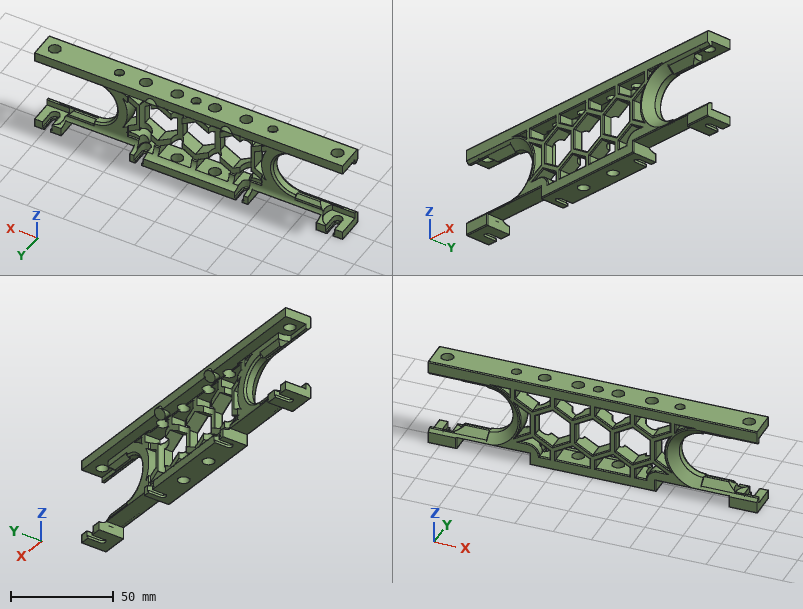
import cadquery as cq
import math

LENGTH = 172.0
HALF_LENGTH = LENGTH / 2
HEIGHT = 47.0
DEPTH = 15.0
WEB_DEPTH = 9.3
LATTICE_DEPTH = 8.3
MIDDLE_Z = 23.5
EDGE_CHAMFER = 0.5
OVERSHOOT = 3.5
BACK = DEPTH + OVERSHOOT
LEFT_END = -HALF_LENGTH - OVERSHOOT
SELECT_MARGIN = 0.2

TOP_UNDERSIDE = 41.8
FLOOR_TOP = 4.6
NOTCH_TOP = 6.4
BLOCK_HALF = 33.0
FOOT_LENGTH = 14.8
BACK_FILLET = 5.2

SLOT_CENTRE = 56.0
SLOT_RADIUS = 12.5
SLOT_CHAMFER = 4.6
ARC_BACK_CHAMFER = 1.0
LIP_BACK_CHAMFER = 2.4
LIP_RECESS = 1.0

RIM_DEPTH = 3.0
RIM_LEDGE = 1.5
LEDGE_DISTANCE = SLOT_RADIUS + SLOT_CHAMFER - RIM_LEDGE
CLEARANCE_RADIUS = 7.2
FLARE_START = 3.5
FLARE = 3.5

PITCH = 21.0
STRUT = 3.1
RING_RADIUS = 18.5
WINDOW_BOTTOM = 6.0
WINDOW_TOP = 41.0
BLOCK_WALL = 5.7
CORNER_RADIUS = 6.4
CORNER_X = 34.2

HOLE_Y = 7.5
SCREW_X = (28.0, 79.0)
OPEN_X = 10.5
BLIND_X = (-42.8, 0.0, 42.8)
HOLE_RADIUS = 3.1
BLIND_RADIUS = 2.4
BLIND_DEPTH = 3.5
SEAT_RADIUS = 2.5
SEAT_Z = 1.4
SCREW_SLOT_RADIUS = 1.7

PEG_RADIUS = 3.3
PEG_TIP_Y = 16.7
PEG_TIP_Z = 43.2
PEG_LENGTH = 5.2


def block(x0, x1, y0, y1, z0, z1):
    return cq.Workplane("XY").box(x1 - x0, y1 - y0, z1 - z0, centered=False).translate((x0, y0, z0))


def along_x(points, x0, x1):
    """Extrude a (Y, Z) outline from x0 to x1."""
    return cq.Workplane("YZ").polyline(points).close().extrude(x1 - x0).translate((x0, 0, 0))


def along_y(outline, y0, y1):
    """Extrude an (X, Z) outline, drawn on an XZ workplane, from y0 to y1."""
    return outline.extrude(y0 - y1).translate((0, y0, 0))


def both_ends(shape):
    return shape.union(shape.mirror("YZ"))


def frame():
    body = block(-HALF_LENGTH, HALF_LENGTH, 0, DEPTH, TOP_UNDERSIDE, HEIGHT)
    body = body.union(block(-HALF_LENGTH, HALF_LENGTH, 0, WEB_DEPTH, NOTCH_TOP, HEIGHT))
    body = body.union(block(-BLOCK_HALF, BLOCK_HALF, 0, DEPTH, 0, FLOOR_TOP))
    body = body.union(block(-BLOCK_HALF, BLOCK_HALF, 0, WEB_DEPTH, 0, NOTCH_TOP))
    foot = block(-HALF_LENGTH, FOOT_LENGTH - HALF_LENGTH, 0, DEPTH, 0, FLOOR_TOP)
    foot = foot.union(block(-HALF_LENGTH, FOOT_LENGTH - HALF_LENGTH, 0, WEB_DEPTH, 0, NOTCH_TOP))
    return body.union(both_ends(foot)).union(back_fillet())


def back_fillet():
    """Hollow fillet from the floor up to the back of the web, stopping above the notches."""
    arc_middle = BACK_FILLET * (1 - math.sqrt(0.5))
    fillet = (
        cq.Workplane("YZ")
        .moveTo(WEB_DEPTH, FLOOR_TOP)
        .lineTo(WEB_DEPTH + BACK_FILLET, FLOOR_TOP)
        .threePointArc(
            (WEB_DEPTH + arc_middle, FLOOR_TOP + arc_middle),
            (WEB_DEPTH, FLOOR_TOP + BACK_FILLET),
        )
        .close()
        .extrude(LENGTH)
        .translate((-HALF_LENGTH, 0, 0))
    )
    notch = block(FOOT_LENGTH - HALF_LENGTH, -BLOCK_HALF, 0, DEPTH, 0, NOTCH_TOP)
    return fillet.cut(both_ends(notch))


def front_edge_chamfers(body):
    """Bevel the long front edges of the plates and the edges around the notches."""
    reach = SELECT_MARGIN

    def front_edges(x0, x1, z0, z1):
        box = cq.selectors.BoxSelector(
            (x0 - reach, -reach, z0 - reach), (x1 + reach, reach, z1 + reach)
        )
        return body.edges(box)

    edges = front_edges(-HALF_LENGTH, HALF_LENGTH, 0, 0)
    for z in (NOTCH_TOP, HEIGHT):
        edges = edges.add(front_edges(-HALF_LENGTH, HALF_LENGTH, z, z))
    for distance in (BLOCK_HALF, HALF_LENGTH - FOOT_LENGTH):
        for x in (-distance, distance):
            edges = edges.add(front_edges(x, x, 0, NOTCH_TOP))
    return edges.chamfer(EDGE_CHAMFER)


def lip_cutter(section):
    """Run a (distance from centre line, Y) half section along both lips of the left slot."""
    upper = along_x([(y, MIDDLE_Z + distance) for distance, y in section], LEFT_END, -SLOT_CENTRE)
    lower = along_x([(y, MIDDLE_Z - distance) for distance, y in section], LEFT_END, -SLOT_CENTRE)
    return upper.union(lower)


def slot_profile(back_chamfer):
    """Half section of the slot as (distance from centre line, Y)."""
    front_radius = SLOT_RADIUS + SLOT_CHAMFER
    return [
        (0, -OVERSHOOT),
        (front_radius, -OVERSHOOT),
        (front_radius, 0),
        (SLOT_RADIUS, SLOT_CHAMFER),
        (SLOT_RADIUS, WEB_DEPTH - back_chamfer),
        (SLOT_RADIUS + back_chamfer, WEB_DEPTH),
        (0, WEB_DEPTH),
    ]


def slot():
    round_end = cq.Workplane("XY").polyline(slot_profile(ARC_BACK_CHAMFER)).close()
    round_end = round_end.revolve(360, (0, 0, 0), (0, 1, 0)).translate((-SLOT_CENTRE, 0, MIDDLE_Z))
    return round_end.union(lip_cutter(slot_profile(LIP_BACK_CHAMFER)))


def behind_rim(start_x, end_x):
    """Space between the plates and behind the front rim, whose edges have a flat ledge."""
    deep = block(start_x, end_x, RIM_DEPTH, BACK, FLOOR_TOP, TOP_UNDERSIDE)
    between_ledges = block(
        start_x, end_x, RIM_LEDGE, BACK, MIDDLE_Z - LEDGE_DISTANCE, MIDDLE_Z + LEDGE_DISTANCE
    )
    return deep.union(between_ledges)


def end_clearance():
    """Round clearance about the outer screw, widening away from the plates and open at the end."""
    wide_radius = CLEARANCE_RADIUS + FLARE
    profile = [
        (0, FLOOR_TOP),
        (CLEARANCE_RADIUS, FLOOR_TOP),
        (CLEARANCE_RADIUS, FLOOR_TOP + FLARE_START),
        (wide_radius, FLOOR_TOP + FLARE_START + FLARE),
        (wide_radius, TOP_UNDERSIDE - FLARE_START - FLARE),
        (CLEARANCE_RADIUS, TOP_UNDERSIDE - FLARE_START),
        (CLEARANCE_RADIUS, TOP_UNDERSIDE),
        (0, TOP_UNDERSIDE),
    ]
    screw_x = -max(SCREW_X)
    around_screw = cq.Workplane("XZ").polyline(profile).close().revolve(360, (0, 0, 0), (0, 1, 0))
    around_screw = around_screw.translate((screw_x, HOLE_Y, 0))
    room = around_screw.union(block(LEFT_END, screw_x, 0, BACK, FLOOR_TOP, TOP_UNDERSIDE))
    return room.intersect(behind_rim(LEFT_END, -SLOT_CENTRE))


def lip_recess():
    """Shallow step that sets the straight lips back from the rim."""
    lip_y = SLOT_CHAMFER + LIP_RECESS
    section = [
        (0, RIM_LEDGE),
        (LEDGE_DISTANCE + LIP_RECESS, RIM_LEDGE),
        (SLOT_RADIUS, lip_y),
        (0, lip_y),
    ]
    rim = block(LEFT_END, -max(SCREW_X), 0, RIM_DEPTH, 0, HEIGHT)
    return lip_cutter(section).cut(rim)


def hexagon(centre_x, centre_z, across_flats):
    radius = across_flats / math.sqrt(3)
    angles = [math.radians(30 + 60 * i) for i in range(6)]
    points = [(centre_x + radius * math.cos(a), centre_z + radius * math.sin(a)) for a in angles]
    return cq.Workplane("XZ").polyline(points).close()


def cell(centre_x, centre_z):
    """Hexagonal opening with a bevelled front edge."""
    width = PITCH - STRUT
    straight = along_y(hexagon(centre_x, centre_z, width), 0, BACK)
    bevel = hexagon(centre_x, centre_z, width + 2 * EDGE_CHAMFER).extrude(-EDGE_CHAMFER, taper=45)
    return straight.union(bevel)


def solid_surround():
    """Material kept around the honeycomb: the slot rings and the walls over the notches."""
    back = BACK + OVERSHOOT

    def round_wall(radius, centre_x, centre_z):
        front_radius = radius - EDGE_CHAMFER
        profile = [(0, 0), (front_radius, 0), (radius, EDGE_CHAMFER), (radius, back), (0, back)]
        wall = cq.Workplane("XY").polyline(profile).close().revolve(360, (0, 0, 0), (0, 1, 0))
        return wall.translate((centre_x, 0, centre_z))

    ring = round_wall(RING_RADIUS, -SLOT_CENTRE, MIDDLE_Z)
    wall_top = NOTCH_TOP + BLOCK_WALL
    corner = round_wall(CORNER_RADIUS, -CORNER_X, wall_top - CORNER_RADIUS)
    bar_profile = [
        (0, 0),
        (0, wall_top - EDGE_CHAMFER),
        (EDGE_CHAMFER, wall_top),
        (back, wall_top),
        (back, 0),
    ]
    bar = along_x(bar_profile, -SLOT_CENTRE, -CORNER_X)
    return both_ends(ring.union(corner).union(bar))


def honeycomb():
    cells = cq.Workplane("XY")
    row_height = PITCH * math.sqrt(3) / 2
    for column in range(-2, 3):
        cells = cells.union(cell(column * PITCH, MIDDLE_Z))
    for column in range(-3, 3):
        for side in (-1, 1):
            cells = cells.union(cell((column + 0.5) * PITCH, MIDDLE_Z + side * row_height))
    window_profile = [
        (0, WINDOW_BOTTOM - EDGE_CHAMFER),
        (EDGE_CHAMFER, WINDOW_BOTTOM),
        (BACK, WINDOW_BOTTOM),
        (BACK, WINDOW_TOP),
        (EDGE_CHAMFER, WINDOW_TOP),
        (0, WINDOW_TOP + EDGE_CHAMFER),
    ]
    window = along_x(window_profile, -SLOT_CENTRE, SLOT_CENTRE)
    return cells.intersect(window).cut(solid_surround())


def lattice_setback():
    """Thin the back of the honeycomb between the two slot rings."""
    reach = SLOT_CENTRE - RING_RADIUS
    return block(-reach, reach, LATTICE_DEPTH, BACK, FLOOR_TOP + BACK_FILLET, TOP_UNDERSIDE)


def vertical_hole(x, radius, z0, z1):
    return cq.Workplane("XY").center(x, HOLE_Y).circle(radius).extrude(z1 - z0).translate((0, 0, z0))


def open_slot(x, radius, z0, z1):
    """Vertical hole widened into a slot that opens at the back."""
    channel = block(x - radius, x + radius, HOLE_Y, BACK, z0, z1)
    return vertical_hole(x, radius, z0, z1).union(channel)


def hole_cutters():
    top = HEIGHT + OVERSHOOT
    cutters = [vertical_hole(x, BLIND_RADIUS, HEIGHT - BLIND_DEPTH, top) for x in BLIND_X]
    for side in (-1, 1):
        cutters.append(vertical_hole(side * OPEN_X, HOLE_RADIUS, -OVERSHOOT, top))
        cutters.append(open_slot(side * OPEN_X, HOLE_RADIUS, WINDOW_BOTTOM, TOP_UNDERSIDE))
        for distance in SCREW_X:
            x = side * distance
            cutters.append(vertical_hole(x, HOLE_RADIUS, TOP_UNDERSIDE, top))
            cutters.append(open_slot(x, HOLE_RADIUS, WINDOW_BOTTOM, TOP_UNDERSIDE))
            cutters.append(open_slot(x, SEAT_RADIUS, SEAT_Z, WINDOW_BOTTOM))
            cutters.append(open_slot(x, SCREW_SLOT_RADIUS, -OVERSHOOT, SEAT_Z))
    return cutters


def peg(x):
    """Round peg leaning forwards at 45 degrees into the top plate."""
    drop = PEG_RADIUS * math.sqrt(0.5)
    face = cq.Plane(
        origin=(x, PEG_TIP_Y - drop, PEG_TIP_Z - drop), xDir=(1, 0, 0), normal=(0, -1, 1)
    )
    return cq.Workplane(face).circle(PEG_RADIUS).extrude(PEG_LENGTH)


body = front_edge_chamfers(frame())
for cutter in (slot(), lip_recess(), end_clearance()):
    body = body.cut(both_ends(cutter))
body = body.cut(honeycomb()).cut(lattice_setback())
for side in (-1, 1):
    body = body.union(peg(side * PITCH))
for cutter in hole_cutters():
    body = body.cut(cutter)
result = body